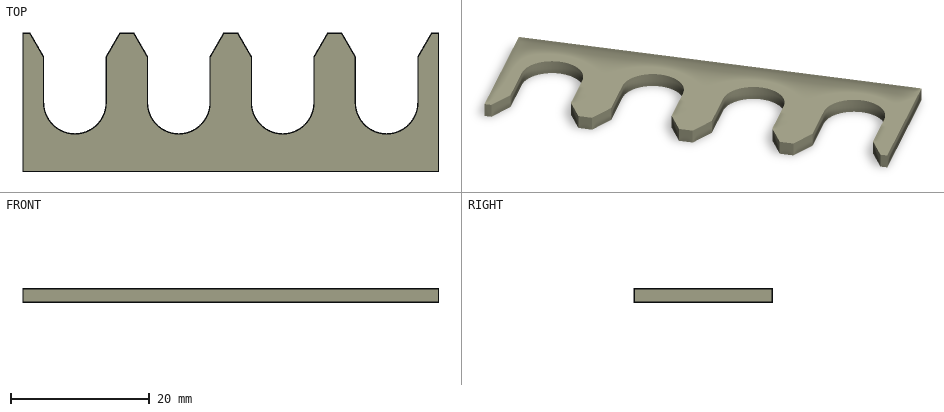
import cadquery as cq
import math

length = 60.0
width = 20.0
thickness = 2.0

slot_count = 4
slot_width = 9.0
slot_depth = 14.5
lead_in_width = 2.0
lead_in_angle = 60.0

pitch = length / slot_count
slot_radius = slot_width / 2
lead_in_depth = lead_in_width * math.tan(math.radians(lead_in_angle))


def slot_cutter(center_x):
    """Slot with a semicircular floor and a flared mouth at the +Y edge."""
    left = center_x - slot_radius
    right = center_x + slot_radius
    floor_y = width - slot_depth
    arc_center_y = floor_y + slot_radius
    flare_y = width - lead_in_depth
    return (
        cq.Workplane("XY")
        .moveTo(left - lead_in_width, width)
        .lineTo(left, flare_y)
        .lineTo(left, arc_center_y)
        .threePointArc((center_x, floor_y), (right, arc_center_y))
        .lineTo(right, flare_y)
        .lineTo(right + lead_in_width, width)
        .close()
        .extrude(thickness)
    )


result = cq.Workplane("XY").box(length, width, thickness, centered=False)
for index in range(slot_count):
    result = result.cut(slot_cutter((index + 0.5) * pitch))